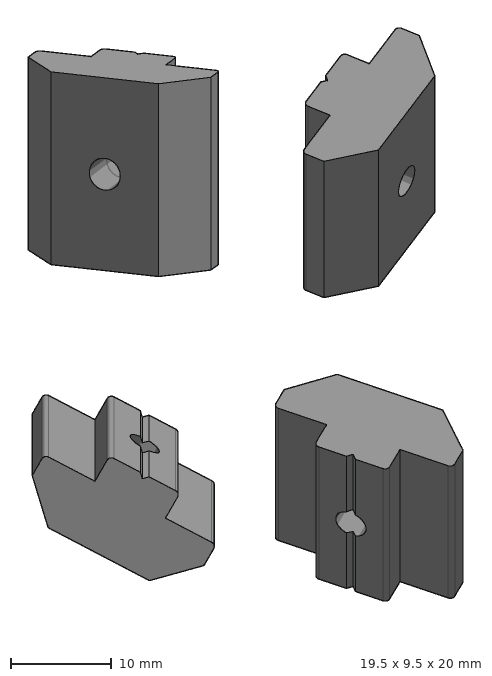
import cadquery as cq

length = 20.0
body_width = 19.5
body_depth = 6.5
neck_width = 8.0
neck_height = 3.0
bevel = 4.0
corner_radius = 0.5
notch_depth = 0.5
hole_diameter = 3.3

total_depth = body_depth + neck_height
front_y = -total_depth / 2
shoulder_y = front_y + body_depth
back_y = total_depth / 2


def block(width, y_start, y_end):
    """Full-length block centred on X and Z, spanning y_start to y_end."""
    depth = y_end - y_start
    return cq.Workplane("XY").box(width, depth, length).translate((0, (y_start + y_end) / 2, 0))


def make_body():
    """Wide body with bevelled front edges and rounded shoulders."""
    body = block(body_width, front_y, shoulder_y)
    body = body.edges("|Z and <Y").chamfer(bevel)
    return body.edges("|Z and >Y").fillet(corner_radius)


def make_neck():
    """Narrow neck with rounded outer corners."""
    neck = block(neck_width, shoulder_y, back_y)
    return neck.edges("|Z and >Y").fillet(corner_radius)


def make_notch():
    """Right-angled V groove along the middle of the neck's back face."""
    return (
        cq.Workplane("XY", origin=(0, 0, -length / 2))
        .moveTo(-notch_depth, back_y)
        .lineTo(0, back_y - notch_depth)
        .lineTo(notch_depth, back_y)
        .close()
        .extrude(length)
    )


def make_hole():
    """Central hole passing through the full depth along Y."""
    return cq.Workplane("XZ").circle(hole_diameter / 2).extrude(total_depth / 2, both=True)


result = make_body().union(make_neck()).cut(make_notch()).cut(make_hole())